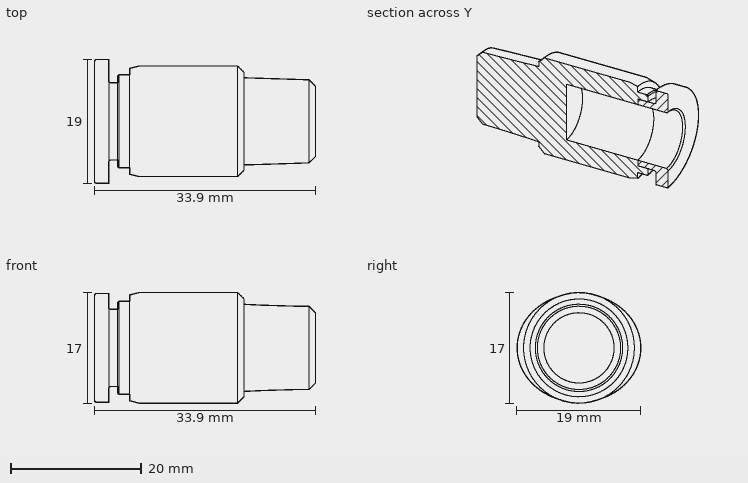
import cadquery as cq


FLANGE_WIDTH = 19.0
FLANGE_HEIGHT = 16.7
FLANGE_THICKNESS = 2.2
FLANGE_EDGE_RADIUS = 0.3
NECK_DIAMETER = 11.9
NECK_FILLET = 0.3
BORE_DIAMETER = 9.75
BORE_CHAMFER = 0.3
SLEEVE_LENGTH = 5.4

COLLAR_START = 3.55
COLLAR_DIAMETER = 14.3
COLLAR_CHAMFER = 0.2
BARREL_START = SLEEVE_LENGTH
BARREL_DIAMETER = 17.0
BARREL_LEAD_LENGTH = 1.45
BARREL_LEAD_DEPTH = 0.37
BARREL_END = 22.95
BARREL_CHAMFER = 1.0
SPIGOT_DIAMETER = 13.4
SPIGOT_TAPER = 1 / 16
SPIGOT_CHAMFER = 1.0
OVERALL_LENGTH = 33.9
TUBE_STOP = 18.0


def cylinder_along_x(diameter, start, end):
    return cq.Workplane("YZ", origin=(start, 0, 0)).circle(diameter / 2).extrude(end - start)


def make_release_sleeve():
    flange = (
        cq.Workplane("YZ")
        .ellipse(FLANGE_WIDTH / 2, FLANGE_HEIGHT / 2)
        .extrude(FLANGE_THICKNESS)
        .faces("<X")
        .edges()
        .fillet(FLANGE_EDGE_RADIUS)
    )
    neck_radius = NECK_DIAMETER / 2
    fillet_end = FLANGE_THICKNESS + NECK_FILLET
    neck = (
        cq.Workplane("XY")
        .moveTo(0, 0)
        .lineTo(0, neck_radius)
        .lineTo(FLANGE_THICKNESS, neck_radius)
        .lineTo(FLANGE_THICKNESS, neck_radius + NECK_FILLET)
        .radiusArc((fillet_end, neck_radius), -NECK_FILLET)
        .lineTo(SLEEVE_LENGTH, neck_radius)
        .lineTo(SLEEVE_LENGTH, 0)
        .close()
        .revolve(360, (0, 0, 0), (1, 0, 0))
    )
    bore_radius = BORE_DIAMETER / 2
    bore = (
        cq.Workplane("XY")
        .moveTo(0, 0)
        .lineTo(0, bore_radius + BORE_CHAMFER)
        .lineTo(BORE_CHAMFER, bore_radius)
        .lineTo(SLEEVE_LENGTH, bore_radius)
        .lineTo(SLEEVE_LENGTH, 0)
        .close()
        .revolve(360, (0, 0, 0), (1, 0, 0))
    )
    return flange.union(neck).cut(bore)


def make_housing():
    collar_radius = COLLAR_DIAMETER / 2
    barrel_radius = BARREL_DIAMETER / 2
    spigot_radius = SPIGOT_DIAMETER / 2
    taper_end = OVERALL_LENGTH - SPIGOT_CHAMFER
    spigot_tip_radius = spigot_radius - (taper_end - BARREL_END) * SPIGOT_TAPER / 2
    body = (
        cq.Workplane("XY")
        .moveTo(COLLAR_START, 0)
        .lineTo(COLLAR_START, collar_radius - COLLAR_CHAMFER)
        .lineTo(COLLAR_START + COLLAR_CHAMFER, collar_radius)
        .lineTo(BARREL_START, collar_radius)
        .lineTo(BARREL_START, barrel_radius - BARREL_LEAD_DEPTH)
        .lineTo(BARREL_START + BARREL_LEAD_LENGTH, barrel_radius)
        .lineTo(BARREL_END - BARREL_CHAMFER, barrel_radius)
        .lineTo(BARREL_END, barrel_radius - BARREL_CHAMFER)
        .lineTo(BARREL_END, spigot_radius)
        .lineTo(taper_end, spigot_tip_radius)
        .lineTo(OVERALL_LENGTH, spigot_tip_radius - SPIGOT_CHAMFER)
        .lineTo(OVERALL_LENGTH, 0)
        .close()
        .revolve(360, (0, 0, 0), (1, 0, 0))
    )
    seat = cylinder_along_x(NECK_DIAMETER, COLLAR_START, SLEEVE_LENGTH)
    tube_bore = cylinder_along_x(BORE_DIAMETER, SLEEVE_LENGTH, TUBE_STOP)
    return body.cut(seat).cut(tube_bore)


release_sleeve = make_release_sleeve()
housing = make_housing()
result = cq.Compound.makeCompound([release_sleeve.val(), housing.val()])